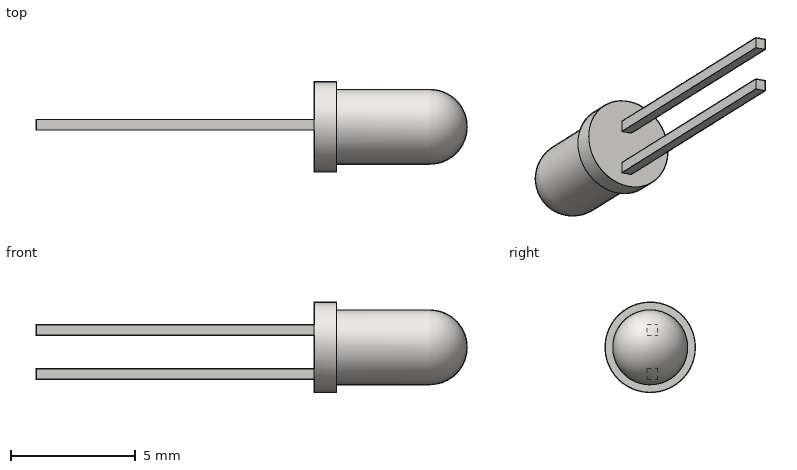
import cadquery as cq

total_length = 17.3
lens_radius = 1.5
flange_radius = 1.82
flange_thickness = 0.9

lead_length = 11.15
lead_width = 0.43
lead_spacing = 1.76
lead_pair_y = 0.09
lead_pair_z = -0.19

flange_front_x = lead_length + flange_thickness
dome_start_x = total_length - lens_radius


def make_lens():
    """Flanged round lens with a hemispherical tip, revolved about X."""
    dome_mid = lens_radius * 0.5 ** 0.5
    return (
        cq.Workplane("XY")
        .moveTo(lead_length, 0)
        .lineTo(lead_length, flange_radius)
        .lineTo(flange_front_x, flange_radius)
        .lineTo(flange_front_x, lens_radius)
        .lineTo(dome_start_x, lens_radius)
        .threePointArc((dome_start_x + dome_mid, dome_mid), (total_length, 0))
        .close()
        .revolve(360, (0, 0, 0), (1, 0, 0))
    )


def make_lead(center_z):
    """Straight square lead that ends against the back of the flange."""
    return (
        cq.Workplane("XY")
        .box(lead_length, lead_width, lead_width, centered=(False, True, True))
        .translate((0, lead_pair_y, center_z))
    )


lens = make_lens()
leads = [make_lead(lead_pair_z + side * lead_spacing / 2) for side in (-1, 1)]

result = cq.Compound.makeCompound([lens.val(), *[lead.val() for lead in leads]])